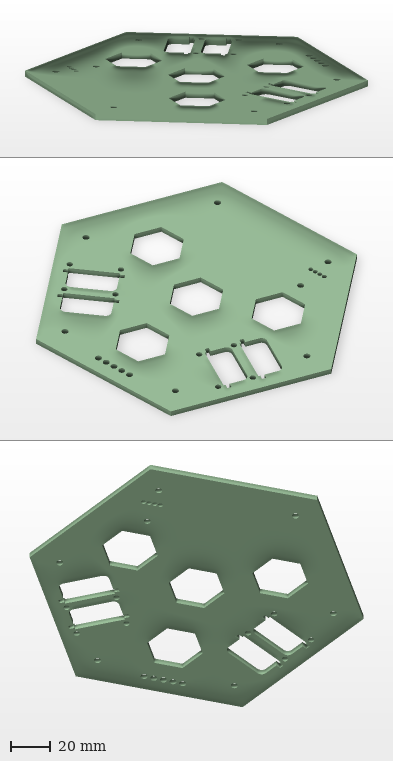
import cadquery as cq
import math

HEXAGON_SIDES = 6

PLATE_ACROSS_FLATS = 150.0
PLATE_THICKNESS = 3.17

BOLT_DIAMETER = 3.5
BOLT_CIRCLE_RADIUS = 71.0
BOLT_COUNT = 6
TOP_ROW_COUNT = 5
TOP_ROW_PITCH = 5.0
TOP_ROW_Y = 66.5
SINGLE_HOLE_CENTER = (-35.7, -39.2)
PIN_DIAMETER = 2.5
PIN_COUNT = 4
PIN_PITCH = 2.9
PIN_ROW_CENTER = (-36.5, -51.8)

WINDOW_ACROSS_FLATS = 25.0
WINDOW_CENTERS = [(0.0, 0.0), (0.0, 43.5), (-39.0, -17.1), (39.0, -17.1)]

PAIR_ANGLES = [-30.0, -150.0]
PAIR_DISTANCE = 53.55
PAIR_OFFSET = 5.1
OPENING_PITCH = 18.75
SCREW_DIAMETER = 3.2
SCREW_SPACING = 26.0
SCREW_TO_OPENING = 3.0
OPENING_LENGTH = 26.1
OPENING_WIDTH = 13.75
OPENING_CORNER_RADIUS = 3.0
NOTCH_SETBACK = 1.0
NOTCH_WIDTH = 2.2
NOTCH_DEPTH = 2.6


def hexagon(across_flats, center=(0.0, 0.0)):
    """Hexagonal prism as thick as the plate, with two corners along X."""
    across_corners = across_flats / math.cos(math.pi / HEXAGON_SIDES)
    return cq.Workplane("XY").center(*center).polygon(HEXAGON_SIDES, across_corners).extrude(PLATE_THICKNESS)


def cylinders(points, diameter):
    """Round cutters as thick as the plate."""
    return cq.Workplane("XY").pushPoints(points).circle(diameter / 2).extrude(PLATE_THICKNESS)


def row(count, pitch, center):
    """Points evenly spaced along X about a center."""
    return [(center[0] + (i - (count - 1) / 2) * pitch, center[1]) for i in range(count)]


def bolt_points():
    """Bolt hole centers on a circle about the plate's center, the first on the X axis."""
    step = 2 * math.pi / BOLT_COUNT
    return [
        (BOLT_CIRCLE_RADIUS * math.cos(i * step), BOLT_CIRCLE_RADIUS * math.sin(i * step))
        for i in range(BOLT_COUNT)
    ]


def notched_opening():
    """Opening and its screw holes: screws on local X, opening on the -Y side."""
    opening = (
        cq.Workplane("XY")
        .center(0, -SCREW_TO_OPENING - OPENING_WIDTH / 2)
        .rect(OPENING_LENGTH, OPENING_WIDTH)
        .extrude(PLATE_THICKNESS)
        .edges("|Z and <Y")
        .fillet(OPENING_CORNER_RADIUS)
    )
    notches = (
        cq.Workplane("XY")
        .center(0, -SCREW_TO_OPENING - NOTCH_SETBACK - NOTCH_WIDTH / 2)
        .rect(OPENING_LENGTH + 2 * NOTCH_DEPTH, NOTCH_WIDTH)
        .extrude(PLATE_THICKNESS)
    )
    screws = cylinders(row(2, SCREW_SPACING, (0.0, 0.0)), SCREW_DIAMETER)
    return opening.union(notches).union(screws)


def opening_pair(angle):
    """Two stacked openings left of the plate's center, turned about it by an angle in degrees."""
    upper = notched_opening().translate((-PAIR_DISTANCE, PAIR_OFFSET + OPENING_PITCH / 2, 0))
    lower = upper.translate((0, -OPENING_PITCH, 0))
    return upper.union(lower).rotate((0, 0, 0), (0, 0, 1), angle)


plate = hexagon(PLATE_ACROSS_FLATS)

for window_center in WINDOW_CENTERS:
    plate = plate.cut(hexagon(WINDOW_ACROSS_FLATS, window_center))

for pair_angle in PAIR_ANGLES:
    plate = plate.cut(opening_pair(pair_angle))

top_row_points = row(TOP_ROW_COUNT, TOP_ROW_PITCH, (0.0, TOP_ROW_Y))
plate = plate.cut(cylinders(bolt_points() + top_row_points + [SINGLE_HOLE_CENTER], BOLT_DIAMETER))
plate = plate.cut(cylinders(row(PIN_COUNT, PIN_PITCH, PIN_ROW_CENTER), PIN_DIAMETER))

result = plate